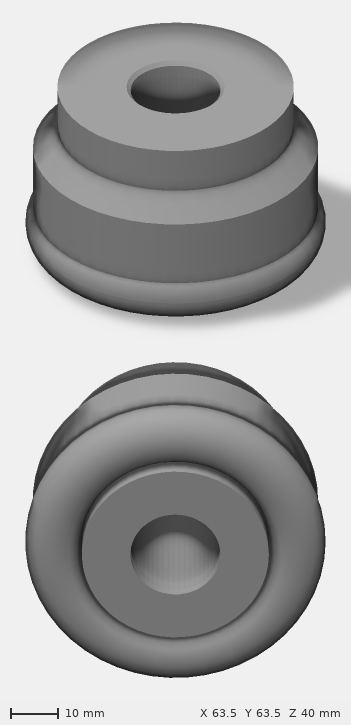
import cadquery as cq
import math

total_height = 40.0
outer_diameter = 63.5
ring_section_radius = 6.0
body_radius = 30.16
neck_radius = 25.0
neck_height = 10.0
bore_radius = 9.5
bore_chamfer = 0.85

ring_center_radius = outer_diameter / 2 - ring_section_radius
ring_center_height = ring_section_radius
spigot_radius = ring_center_radius - ring_section_radius
neck_base = total_height - neck_height
shoulder_base = neck_base - (body_radius - neck_radius)

wall_angle = math.acos((body_radius - ring_center_radius) / ring_section_radius)


def ring_point(angle):
    """Point (radius, height) on the ring section, with the angle taken from the outward horizontal."""
    return (
        ring_center_radius + ring_section_radius * math.cos(angle),
        ring_center_height + ring_section_radius * math.sin(angle),
    )


def make_ring():
    """Round-section ring around the foot of the housing, its surface parted at the ring's mid-height."""
    section = (
        cq.Workplane("XZ")
        .moveTo(*ring_point(0))
        .threePointArc(ring_point(math.pi / 2), ring_point(math.pi))
        .threePointArc(ring_point(-math.pi / 2), ring_point(0))
        .close()
    )
    return section.revolve(360, (0, 0, 0), (0, 1, 0), clean=False)


def make_housing():
    """Turned housing: spigot inside the ring, round seat over the ring, body, cone, neck and bore."""
    profile = (
        cq.Workplane("XZ")
        .moveTo(bore_radius, 0)
        .lineTo(spigot_radius, 0)
        .lineTo(spigot_radius, ring_center_height)
        .threePointArc(ring_point(math.pi / 2), ring_point(wall_angle))
        .lineTo(body_radius, shoulder_base)
        .lineTo(neck_radius, neck_base)
        .lineTo(neck_radius, total_height)
        .lineTo(bore_radius + bore_chamfer, total_height)
        .lineTo(bore_radius, total_height - bore_chamfer)
        .close()
    )
    return profile.revolve(360, (0, 0, 0), (0, 1, 0))


ring = make_ring()
housing = make_housing()

result = cq.Compound.makeCompound([ring.val(), housing.val()])